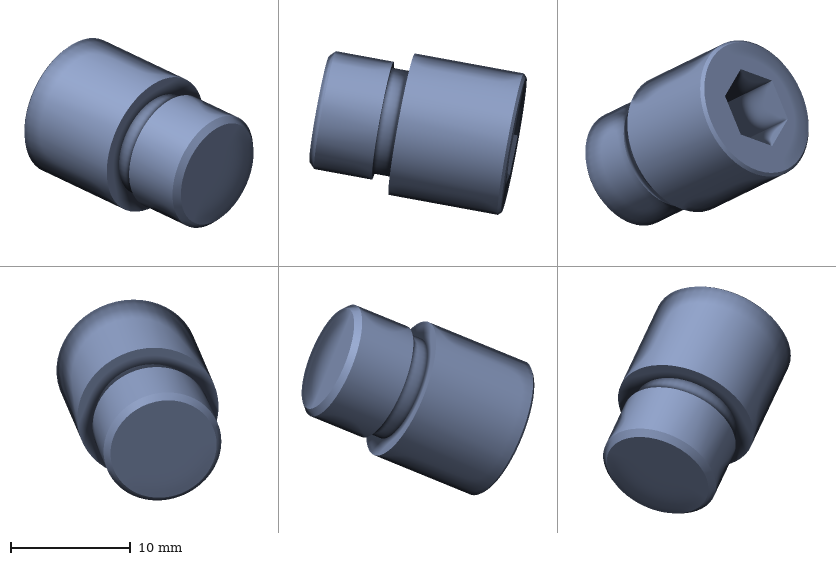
import cadquery as cq

total_length = 16.5
head_length = 9.5
groove_width = 1.62
shank_length = total_length - head_length - groove_width

head_diameter = 12.0
groove_diameter = 8.96
shank_diameter = 10.0

head_chamfer = 0.25
shank_chamfer = 0.5

socket_across_flats = 6.0
socket_depth = 6.0


def cylinder_along_x(start, length, diameter):
    return cq.Workplane("YZ", origin=(start, 0, 0)).circle(diameter / 2).extrude(length)


def hex_socket():
    across_corners = socket_across_flats * 2 / 3**0.5
    return cq.Workplane("YZ").polygon(6, across_corners).extrude(socket_depth)


head = cylinder_along_x(0, head_length, head_diameter).faces("<X").chamfer(head_chamfer)
groove = cylinder_along_x(head_length, groove_width, groove_diameter)
shank = cylinder_along_x(head_length + groove_width, shank_length, shank_diameter)
shank = shank.faces(">X").chamfer(shank_chamfer)

result = head.union(groove).union(shank).cut(hex_socket())